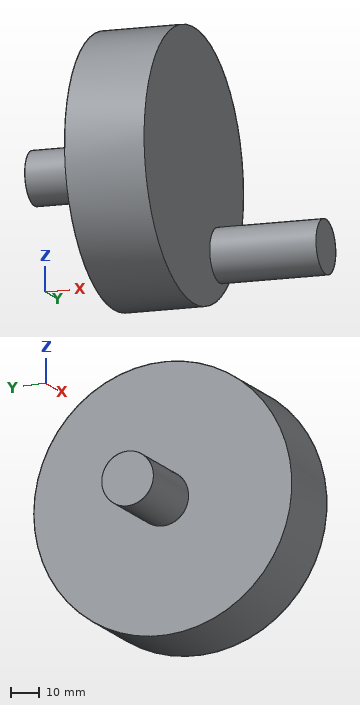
import cadquery as cq

disc_diameter = 100.0
disc_thickness = 30.0
pin_diameter = 20.0
shaft_length = 30.0
crank_pin_length = 40.0

crank_pin_y = 26.0
crank_pin_z = -27.1

disc_start = shaft_length
disc_end = disc_start + disc_thickness


def cylinder_along_x(diameter, length, x, y=0.0, z=0.0):
    """Cylinder that starts at (x, y, z) and runs towards +X."""
    return cq.Workplane("YZ", origin=(x, y, z)).circle(diameter / 2).extrude(length)


shaft = cylinder_along_x(pin_diameter, shaft_length, 0.0)
disc = cylinder_along_x(disc_diameter, disc_thickness, disc_start)
crank_pin = cylinder_along_x(pin_diameter, crank_pin_length, disc_end, crank_pin_y, crank_pin_z)

result = disc.union(shaft).union(crank_pin)